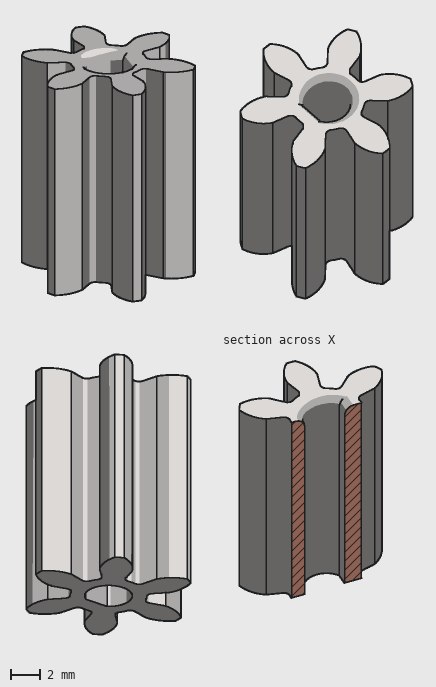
import cadquery as cq
import math

length = 15.5
tooth_count = 6
tip_radius = 6.0
root_radius = 2.64
root_fillet = 0.43
foot_distance = 2.37
root_margin = 0.08

tip_half_width = 0.33
shoulder_distance = 4.05
shoulder_half_width = 1.13
crown_distance = 5.04
crown_half_width = 0.95
flank_angle = 15.0

bore_radius = 1.63
flat_distance = 1.35
bore_rounding = 0.7
rim_margin = 0.15


def make_tooth():
    """Tooth pointing along +X, with its foot buried inside the root cylinder."""
    flank_run = shoulder_distance - foot_distance
    foot_half_width = shoulder_half_width - flank_run * math.tan(math.radians(flank_angle))
    tip_corner = math.sqrt(tip_radius**2 - tip_half_width**2)
    tip_arc_half_angle = math.asin(tip_half_width / tip_radius) / 2
    tip_arc_middle = (
        tip_radius * math.cos(tip_arc_half_angle),
        tip_radius * math.sin(tip_arc_half_angle),
    )
    half_tooth = (
        cq.Workplane("XY")
        .lineTo(0, foot_half_width)
        .lineTo(foot_distance, foot_half_width)
        .lineTo(shoulder_distance, shoulder_half_width)
        .threePointArc((crown_distance, crown_half_width), (tip_corner, tip_half_width))
        .threePointArc(tip_arc_middle, (tip_radius, 0))
        .close()
        .extrude(length)
    )
    return half_tooth.union(half_tooth.mirror("XZ")).clean()


def make_gear():
    """Root cylinder with evenly spaced teeth and rounded tooth roots."""
    gear = cq.Workplane("XY").circle(root_radius).extrude(length)
    tooth = make_tooth()
    for index in range(tooth_count):
        gear = gear.union(tooth.rotate((0, 0, 0), (0, 0, 1), index * 360 / tooth_count))
    root_reach = root_radius + root_margin
    root_zone = cq.selectors.BoxSelector(
        (-root_reach, -root_reach, 0),
        (root_reach, root_reach, length),
    )
    return gear.edges("|Z").edges(root_zone).fillet(root_fillet)


def make_bore():
    """Round bore with a flat on its +Y side."""
    flat_half_width = math.sqrt(bore_radius**2 - flat_distance**2)
    return (
        cq.Workplane("XY")
        .moveTo(-flat_half_width, flat_distance)
        .threePointArc((0, -bore_radius), (flat_half_width, flat_distance))
        .close()
        .extrude(length)
    )


def round_bore_mouth(gear):
    """Round the rim of the bore at the top face."""
    rim_zone = cq.selectors.BoxSelector(
        (-bore_radius, -bore_radius, length - rim_margin),
        (bore_radius, bore_radius, length + rim_margin),
    )
    return gear.edges(rim_zone).fillet(bore_rounding)


result = round_bore_mouth(make_gear().cut(make_bore()))